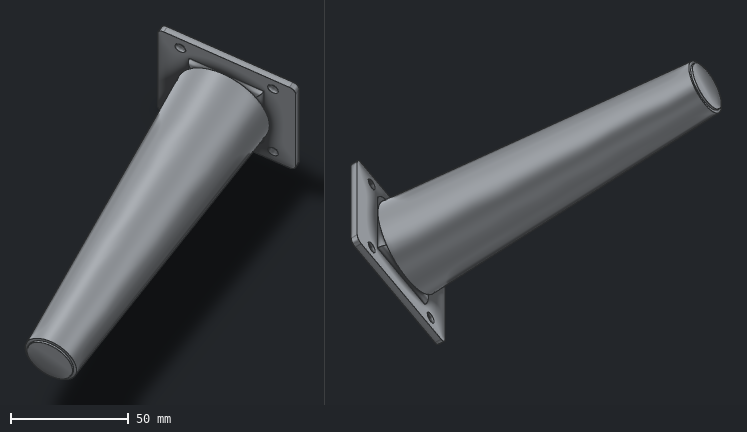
import cadquery as cq

total_length = 160.0

plate_width = 67.0
plate_height = 58.0
plate_thickness = 3.2
corner_radius = 3.0
hole_spacing = 45.0
hole_diameter = 5.1

boss_side = 36.2
boss_height = 3.2
boss_edge_radius = 3.0

leg_top_diameter = 45.0
leg_tip_diameter = 25.0
foot_diameter = 22.0
foot_height = 1.0

plate_back = total_length / 2
plate_front = plate_back - plate_thickness
leg_top = plate_front - boss_height
leg_tip = -total_length / 2


def plane_facing_tip(y):
    """XZ plane at the given Y, with its normal along -Y."""
    return cq.Workplane("XZ", origin=(0, y, 0))


def make_mount():
    """Rounded plate with four screw holes and a square boss rounded at its front."""
    plate = (
        plane_facing_tip(plate_back)
        .rect(plate_width, plate_height)
        .extrude(plate_thickness)
        .edges("|Y")
        .fillet(corner_radius)
    )
    holes = (
        plane_facing_tip(plate_back)
        .rect(hole_spacing, hole_spacing, forConstruction=True)
        .vertices()
        .circle(hole_diameter / 2)
        .extrude(plate_thickness)
    )
    boss = (
        plane_facing_tip(plate_front)
        .rect(boss_side, boss_side)
        .extrude(boss_height)
        .faces("<Y")
        .fillet(boss_edge_radius)
    )
    return plate.cut(holes).union(boss)


def make_leg():
    """Solid cone frustum, seated on the boss, with a short stepped foot at the tip."""
    top_radius = leg_top_diameter / 2
    tip_radius = leg_tip_diameter / 2
    foot_radius = foot_diameter / 2
    return (
        cq.Workplane("XY")
        .moveTo(0, leg_top)
        .lineTo(top_radius, leg_top)
        .lineTo(tip_radius, leg_tip + foot_height)
        .lineTo(foot_radius, leg_tip + foot_height)
        .lineTo(foot_radius, leg_tip)
        .lineTo(0, leg_tip)
        .close()
        .revolve(360, (0, 0, 0), (0, 1, 0))
    )


mount = make_mount()
leg = make_leg()
result = cq.Compound.makeCompound([mount.val(), leg.val()])